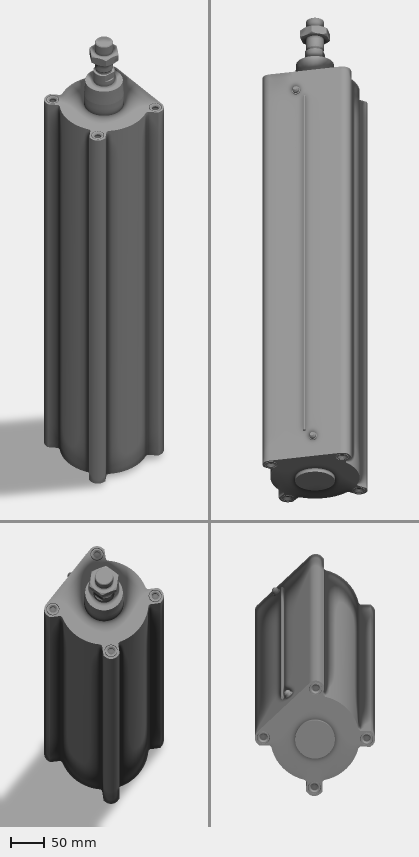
import cadquery as cq
import math

body_length = 660.0
half_width = 68.0
barrel_radius = 67.2
notch_floor = 56.7
screw_offset = 55.0
lobe_radius = half_width - screw_offset
lobe_flat = 4.3

recess_diameter = 19.6
screw_head_diameter = 18.0
socket_diameter = 10.11
socket_mouth_diameter = 14.0
recess_depth = 5.0

collar_diameter = 60.0
rear_collar_length = 6.0
front_collar_length = 45.0
straight_length = 20.5
collar_top_diameter = 56.8

screw_height = 9.1
screw_spread = 13.0
screw_end_distance = 33.0
screw_base_diameter = 12.5
screw_base_height = 2.0
screw_shank_diameter = 10.11
screw_tip_diameter = 5.78
screw_shank_height = 6.0
rail_width = 3.6
rail_height = 4.6
rail_end_distance = 44.5
rail_chamfer = 1.0

rod_diameter = 32.0
thread_diameter = 27.0
thread_length = 54.0
thread_chamfer = 1.1
undercut_diameter = 24.3
undercut_width = 5.5
undercut_taper = 2.5
rod_total_length = 119.0
flat_width = thread_diameter
flat_length = 11.0

nut_sides = 6
nut_across_flats = 41.0
nut_thickness = 13.5
nut_from_tip = 17.5
nut_chamfer_angle = 30.0

flank_start = screw_offset - lobe_flat
flank_reach = half_width - flank_start
tip_z = body_length + rod_total_length
shoulder_z = tip_z - thread_length


def cylinder(diameter, length, z):
    return cq.Workplane("XY").workplane(offset=z).circle(diameter / 2).extrude(length)


def lobe_profile():
    """Outline from the axis to the (+X, -Y) lobe: round corner with 45 degree flanks."""
    arc_mid = screw_offset + lobe_radius * math.sqrt(0.5)
    return (
        cq.Workplane("XY")
        .lineTo(flank_reach, 0)
        .lineTo(half_width, -flank_start)
        .lineTo(half_width, -screw_offset)
        .threePointArc((arc_mid, -arc_mid), (screw_offset, -half_width))
        .lineTo(flank_start, -half_width)
        .lineTo(0, -flank_reach)
        .close()
    )


def barrel():
    """Round barrel with four lobes, small notch floors and one flat side towards +Y."""
    body = cylinder(2 * barrel_radius, body_length, 0)
    for quarter in range(4):
        lobe = lobe_profile().extrude(body_length)
        body = body.union(lobe.rotate((0, 0, 0), (0, 0, 1), 90 * quarter))
    floor_end = notch_floor - flank_reach
    for half_x, half_y in ((notch_floor, floor_end), (floor_end, notch_floor)):
        body = body.union(cq.Workplane("XY").rect(2 * half_x, 2 * half_y).extrude(body_length))
    flat_side = cq.Workplane("XY").box(
        2 * screw_offset, half_width, body_length, centered=(True, False, False)
    )
    return body.union(flat_side)


def tie_screw_recess(z, direction):
    """Ring gap around a screw head, with a countersunk socket in the head."""
    plane = cq.Workplane("XY").workplane(offset=z)
    corners = [(sx * screw_offset, sy * screw_offset) for sx in (-1, 1) for sy in (-1, 1)]
    gap = (
        plane.pushPoints(corners)
        .circle(recess_diameter / 2)
        .circle(screw_head_diameter / 2)
        .extrude(direction * recess_depth)
    )
    socket = plane.pushPoints(corners).circle(socket_diameter / 2).extrude(direction * recess_depth)
    lead_in_depth = (socket_mouth_diameter - socket_diameter) / 2
    for x, y in corners:
        lead_in = cq.Solid.makeCone(
            socket_mouth_diameter / 2, socket_diameter / 2, lead_in_depth,
            pnt=cq.Vector(x, y, z), dir=cq.Vector(0, 0, direction),
        )
        socket = socket.union(cq.Workplane(lead_in))
    return gap.union(socket)


def front_collar():
    """Straight lower part with a slightly tapering upper part."""
    radius = collar_diameter / 2
    return (
        cq.Workplane("XZ")
        .lineTo(radius, 0)
        .lineTo(radius, straight_length)
        .lineTo(collar_top_diameter / 2, front_collar_length)
        .lineTo(0, front_collar_length)
        .close()
        .revolve(360, (0, 0, 0), (0, 1, 0))
        .translate((0, 0, body_length))
    )


def cushioning_screw(x, z):
    """Stepped screw end with a conical tip, standing out towards +Y."""
    shank = screw_shank_diameter / 2
    tip = screw_tip_diameter / 2
    base = screw_base_diameter / 2
    return (
        cq.Workplane("XY")
        .lineTo(base, 0)
        .lineTo(base, screw_base_height)
        .lineTo(shank, screw_base_height)
        .lineTo(shank, screw_shank_height)
        .lineTo(tip, screw_height)
        .lineTo(0, screw_height)
        .close()
        .revolve(360, (0, 0, 0), (0, 1, 0))
        .translate((x, half_width, z))
    )


def rail():
    length = body_length - 2 * rail_end_distance
    return (
        cq.Workplane("XY")
        .box(rail_width, rail_height, length, centered=(True, False, False))
        .edges("|Z and >Y")
        .chamfer(rail_chamfer)
        .translate((0, half_width, rail_end_distance))
    )


def make_housing():
    body = barrel()
    body = body.union(cylinder(collar_diameter, rear_collar_length, -rear_collar_length))
    body = body.union(front_collar())
    body = body.union(rail())
    body = body.union(cushioning_screw(screw_spread, body_length - screw_end_distance))
    body = body.union(cushioning_screw(-screw_spread, screw_end_distance))
    body = body.cut(tie_screw_recess(body_length, -1))
    body = body.cut(tie_screw_recess(0, 1))
    return body.cut(cylinder(rod_diameter, front_collar_length, body_length))


def make_rod():
    """Rod with wrench flats below the shoulder and an undercut at the thread's foot."""
    shank = cylinder(rod_diameter, rod_total_length - thread_length, body_length)
    for side in (-1, 1):
        flat = cq.Workplane("XY").box(rod_diameter, rod_diameter, flat_length).translate(
            (side * (flat_width + rod_diameter) / 2, 0, shoulder_z - flat_length / 2)
        )
        shank = shank.cut(flat)
    undercut = cylinder(undercut_diameter, undercut_width, shoulder_z)
    undercut_top = shoulder_z + undercut_width
    taper = cq.Workplane(cq.Solid.makeCone(
        undercut_diameter / 2, thread_diameter / 2, undercut_taper,
        pnt=cq.Vector(0, 0, undercut_top - undercut_taper),
    ))
    thread = cylinder(thread_diameter, thread_length - undercut_width, undercut_top)
    thread = thread.faces(">Z").chamfer(thread_chamfer)
    return shank.union(undercut).union(taper).union(thread)


def make_nut():
    """Hexagon with flats facing +-X, its corners turned off at both ends."""
    half_sector = 180 / nut_sides
    corner_diameter = nut_across_flats / math.cos(math.radians(half_sector))
    corner_cut = (corner_diameter - nut_across_flats) / 2
    chamfer_height = corner_cut * math.tan(math.radians(nut_chamfer_angle))
    base_z = tip_z - nut_from_tip - nut_thickness
    hexagon = cq.Workplane("XY").polygon(nut_sides, corner_diameter).extrude(nut_thickness)
    hexagon = hexagon.rotate((0, 0, 0), (0, 0, 1), half_sector).translate((0, 0, base_z))
    turned = cylinder(corner_diameter, nut_thickness, base_z)
    turned = turned.faces("<Z or >Z").chamfer(chamfer_height, corner_cut)
    return hexagon.intersect(turned).cut(cylinder(thread_diameter, nut_thickness, base_z))


housing = make_housing()
piston_rod = make_rod()
lock_nut = make_nut()

result = cq.Compound.makeCompound([housing.val(), piston_rod.val(), lock_nut.val()])